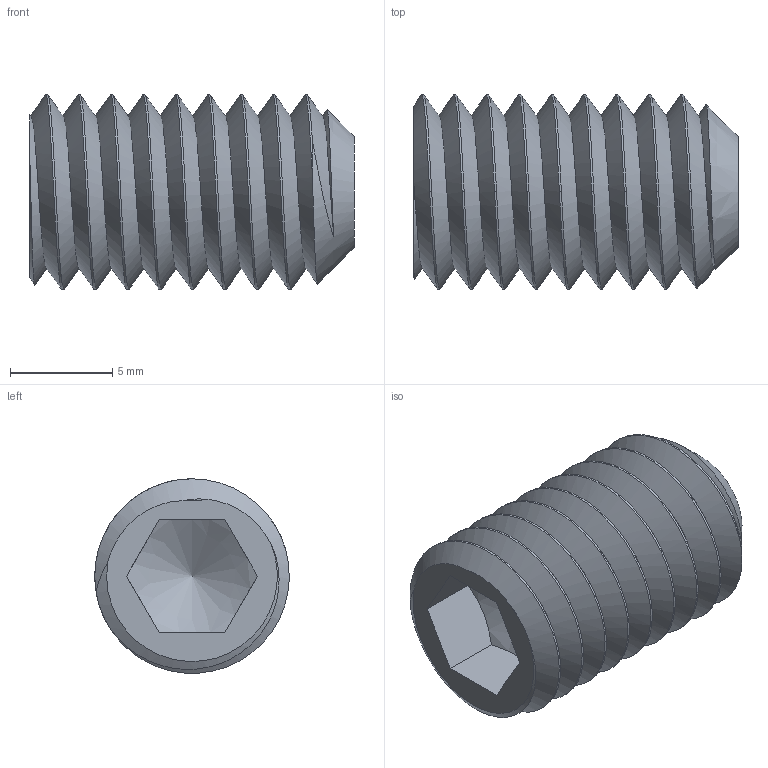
import cadquery as cq
import math

INCH = 25.4
LENGTH = 5 / 8 * INCH
MAJOR_RADIUS = 3 / 8 * INCH / 2
PITCH = INCH / 16

THREAD_DEPTH = 1.04
CREST_WIDTH = PITCH / 16
FIRST_CREST = 0.03
OVERRUN_TURNS = 1

SOCKET_FACE_RADIUS = 4.18
SOCKET_CONE_ANGLE = 60
POINT_FACE_RADIUS = 2.72
POINT_CONE_ANGLE = 45

SOCKET_ACROSS_FLATS = 7 / 32 * INCH
SOCKET_CORNER_DEPTH = 2.85
SOCKET_BOTTOM_ANGLE = 120


def make_blank():
    """Revolve the unthreaded screw body about the X axis."""
    socket_cone = (MAJOR_RADIUS - SOCKET_FACE_RADIUS) / math.tan(math.radians(SOCKET_CONE_ANGLE))
    point_cone = (MAJOR_RADIUS - POINT_FACE_RADIUS) / math.tan(math.radians(POINT_CONE_ANGLE))
    return (
        cq.Workplane("XZ")
        .moveTo(0, 0)
        .lineTo(0, SOCKET_FACE_RADIUS)
        .lineTo(socket_cone, MAJOR_RADIUS)
        .lineTo(LENGTH - point_cone, MAJOR_RADIUS)
        .lineTo(LENGTH, POINT_FACE_RADIUS)
        .lineTo(LENGTH, 0)
        .close()
        .revolve(360, (0, 0, 0), (1, 0, 0))
    )


def make_thread_groove():
    """Build the V groove between three right-hand helices that overrun both ends of the screw."""
    root_radius = MAJOR_RADIUS - THREAD_DEPTH
    half_width = (PITCH - CREST_WIDTH) / 2
    wound_length = (math.ceil(LENGTH / PITCH) + 2 * OVERRUN_TURNS) * PITCH
    start = FIRST_CREST - PITCH / 2 - OVERRUN_TURNS * PITCH

    corners = [
        (root_radius, 0),
        (MAJOR_RADIUS, half_width),
        (MAJOR_RADIUS, -half_width),
    ]
    helices = [
        cq.Wire.makeHelix(PITCH, wound_length, radius).translate(cq.Vector(0, 0, start + offset))
        for radius, offset in corners
    ]
    faces = [
        cq.Face.makeRuledSurface(helices[i - 1], helices[i])
        for i in range(len(helices))
    ]
    for end in (start, start + wound_length):
        outline = [cq.Vector(radius, 0, end + offset) for radius, offset in corners]
        faces.append(cq.Face.makeFromWires(cq.Wire.makePolygon(outline, close=True)))
    groove = cq.Solid.makeSolid(cq.Shell.makeShell(faces))

    return cq.Workplane(groove).rotate((0, 0, 0), (0, 1, 0), 90)


def make_socket():
    """Hexagonal prism with two corners in the XY plane, ended by a cone through its corners."""
    corner_radius = SOCKET_ACROSS_FLATS / math.sqrt(3)
    cone_height = corner_radius / math.tan(math.radians(SOCKET_BOTTOM_ANGLE / 2))
    tip_depth = SOCKET_CORNER_DEPTH + cone_height
    prism = cq.Workplane("YZ").polygon(6, 2 * corner_radius).extrude(tip_depth)
    drill = (
        cq.Workplane("XZ")
        .moveTo(0, 0)
        .lineTo(0, corner_radius)
        .lineTo(SOCKET_CORNER_DEPTH, corner_radius)
        .lineTo(tip_depth, 0)
        .close()
        .revolve(360, (0, 0, 0), (1, 0, 0))
    )
    return prism.intersect(drill)


screw = make_blank().cut(make_thread_groove()).cut(make_socket())
result = screw.solids()